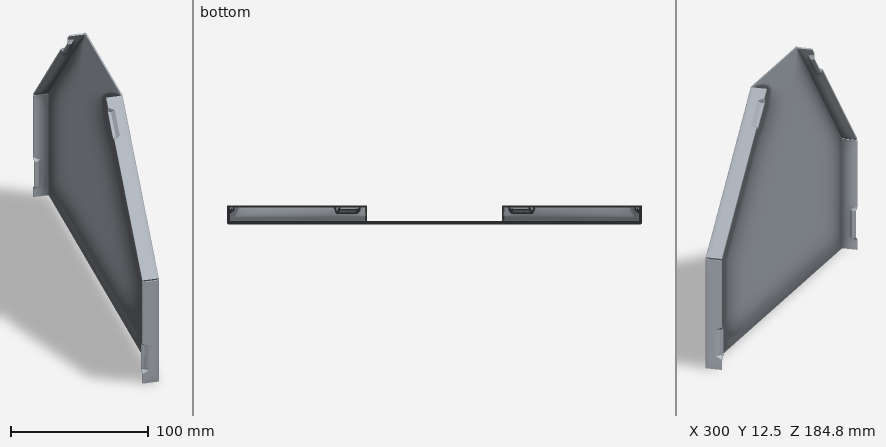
import cadquery as cq
import math

width = 300.0
depth = 12.5
height = 184.8
sheet = 1.2
top_width = 97.2
slope_angle = 45.0
slope_trim = 1.2
side_trim = 0.5

tab_length = 24.5
tab_depth = 4.5
tab_offset = 3.0
tab_taper = 2.5
side_tab_height = 20.0
slope_tab_inset = 21.3

skin_growth = sheet * math.tan(math.pi / 8)

slope = math.radians(slope_angle)
inner_half_width = width / 2 - sheet
top_half_width = top_width / 2
plate_height = height - sheet * math.cos(slope)
side_height = plate_height - (inner_half_width - top_half_width) * math.tan(slope)
slope_length = (inner_half_width - top_half_width) / math.cos(slope)


def tab_block(length, reach):
    """Tapered block from x = 0 to tab_offset, open face at y = 0, centred on z = 0."""
    half = length / 2
    half_inner = half - tab_taper
    reach_inner = reach - tab_taper
    return (
        cq.Workplane("YZ")
        .polyline([(0, -half), (reach, -half_inner), (reach, half_inner), (0, half)])
        .close()
        .workplane(offset=tab_offset)
        .polyline([
            (0, -half_inner),
            (reach_inner, -half_inner),
            (reach_inner, half_inner),
            (0, half_inner),
        ])
        .close()
        .loft(ruled=True)
    )


def flange(length, tab_center, end_trim):
    """Left flange standing on z = 0, outer face at x = 0, free edge at y = 0."""
    wall = (
        cq.Workplane("XY")
        .lineTo(sheet, 0)
        .lineTo(sheet, depth)
        .radiusArc((0, depth - sheet), -sheet)
        .close()
        .extrude(length)
    )
    trim = cq.Workplane("XY").box(sheet, depth - sheet, end_trim, centered=False)
    wall = wall.cut(trim.translate((0, 0, length - end_trim)))

    dent = tab_block(tab_length, tab_depth).translate((0, 0, tab_center))
    skin = tab_block(tab_length + 2 * skin_growth, tab_depth + skin_growth)
    skin = skin.translate((sheet, 0, tab_center))
    return wall.union(skin).cut(dent)


def plate():
    """Flat back plate, its back face at y = depth."""
    return (
        cq.Workplane("XZ", origin=(0, depth, 0))
        .polyline([
            (-inner_half_width, 0),
            (inner_half_width, 0),
            (inner_half_width, side_height),
            (top_half_width, plate_height),
            (-top_half_width, plate_height),
            (-inner_half_width, side_height),
        ])
        .close()
        .extrude(sheet)
    )


def left_flanges():
    """Upright and sloping flanges, meeting at the inner corner with an open V between them."""
    side = flange(side_height, side_tab_height, side_trim).translate((-width / 2, 0, 0))
    sloping = (
        flange(slope_length, slope_length - slope_tab_inset, slope_trim)
        .translate((-sheet, 0, 0))
        .rotate((0, 0, 0), (0, 1, 0), slope_angle)
        .translate((-inner_half_width, 0, side_height))
    )
    return side, sloping


result = plate()
for left in left_flanges():
    result = result.union(left).union(left.mirror("YZ"))
result = result.translate((0, -depth / 2, -height / 2))